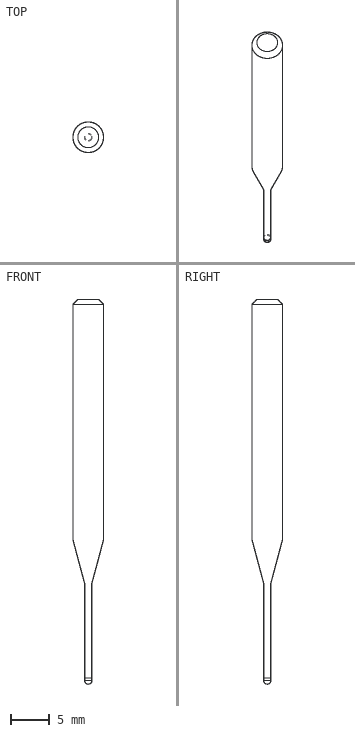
import cadquery as cq
import math

total_length = 50.0
shank_radius = 2.0
shank_chamfer = 0.65
shank_bottom = 18.75
taper_angle = 15.0
neck_radius = 0.475
ball_radius = 0.5
cutter_top_radius = 0.425
cutter_length = 0.8
blend_height = 0.1
taper_end_radius = 0.5

taper_height = (shank_radius - taper_end_radius) / math.tan(math.radians(taper_angle))
taper_bottom = shank_bottom - taper_height
blend_bottom = taper_bottom - blend_height


def revolve_profile(profile):
    """Turn a closed half profile, drawn in the XZ plane, around the Z axis."""
    return profile.close().revolve(360, (0, 0, 0), (0, 1, 0))


def make_shank():
    """Chamfered shank, taper, short blending cone and slender neck in one turned body."""
    profile = (
        cq.Workplane("XZ")
        .moveTo(0, cutter_length)
        .lineTo(neck_radius, cutter_length)
        .lineTo(neck_radius, blend_bottom)
        .lineTo(taper_end_radius, taper_bottom)
        .lineTo(shank_radius, shank_bottom)
        .lineTo(shank_radius, total_length - shank_chamfer)
        .lineTo(shank_radius - shank_chamfer, total_length)
        .lineTo(0, total_length)
    )
    return revolve_profile(profile)


def make_cutter():
    """Ball nose tip with a short back cone that is narrowest where it meets the neck."""
    arc_offset = ball_radius * math.sqrt(0.5)
    profile = (
        cq.Workplane("XZ")
        .moveTo(0, 0)
        .threePointArc((arc_offset, ball_radius - arc_offset), (ball_radius, ball_radius))
        .lineTo(cutter_top_radius, cutter_length)
        .lineTo(0, cutter_length)
    )
    return revolve_profile(profile)


shank = make_shank()
cutter = make_cutter()

result = cq.Compound.makeCompound([shank.val(), cutter.val()])